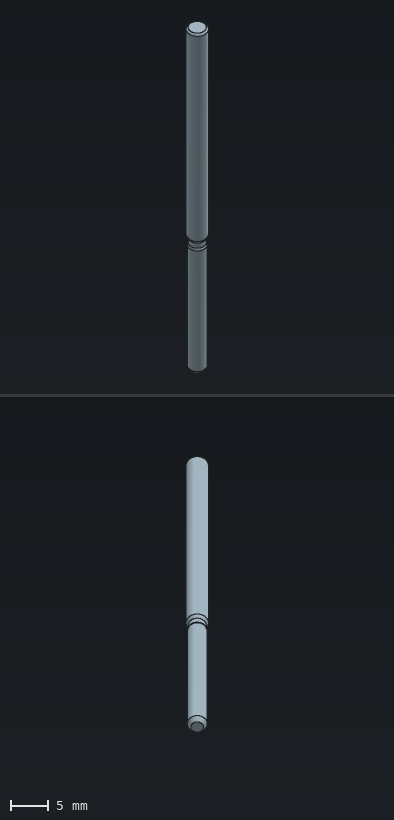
import cadquery as cq

total_length = 60.0

barrel_diameter = 3.0
barrel_top_diameter = 2.4
barrel_top_chamfer_height = 0.3
barrel_bottom_chamfer_height = 0.55
barrel_bottom_z = 23.15

pin_diameter = 2.7
neck_diameter = 2.4
neck_length = 0.9
shoulder_chamfer_height = 0.35
tip_diameter = 1.7
tip_chamfer_height = 0.7


def turned_body(profile):
    """Revolve a list of (diameter, z) steps, bottom to top, around the Z axis."""
    bottom_z = profile[0][1]
    top_z = profile[-1][1]
    outline = [(0, bottom_z)]
    outline += [(diameter / 2, z) for diameter, z in profile]
    outline.append((0, top_z))
    return cq.Workplane("XZ").polyline(outline).close().revolve(360, (0, 0), (0, 1))


def make_barrel():
    """Thick rod with a chamfer at each end; the lower one narrows to the neck."""
    return turned_body([
        (neck_diameter, barrel_bottom_z),
        (barrel_diameter, barrel_bottom_z + barrel_bottom_chamfer_height),
        (barrel_diameter, total_length - barrel_top_chamfer_height),
        (barrel_top_diameter, total_length),
    ])


def make_pin():
    """Thin rod with a tapered tip and a neck that butts against the barrel."""
    neck_bottom_z = barrel_bottom_z - neck_length
    return turned_body([
        (tip_diameter, 0),
        (pin_diameter, tip_chamfer_height),
        (pin_diameter, neck_bottom_z - shoulder_chamfer_height),
        (neck_diameter, neck_bottom_z),
        (neck_diameter, barrel_bottom_z),
    ])


barrel = make_barrel()
pin = make_pin()

result = cq.Compound.makeCompound([barrel.val(), pin.val()])